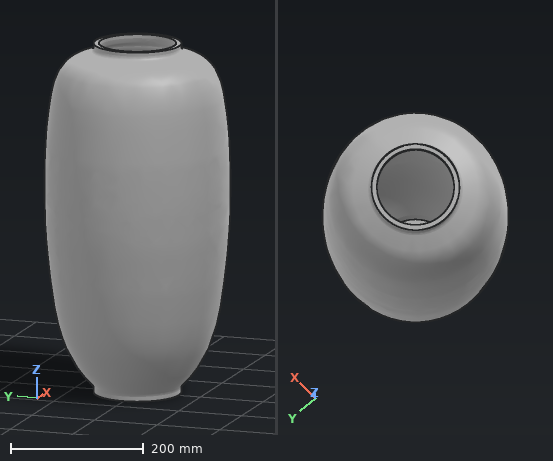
import cadquery as cq

height = 540
rim_radius = 66.5
belly_radius = 140.5
belly_height = 340
wall = 8.0
foot_height = 11
neck_height = 11.5
blend_radius = 7.5

neck_bottom = height - neck_height

body_points = [
    (83.5, 29.0),
    (105.5, 63.5),
    (121.5, 112.5),
    (133.0, 185.0),
    (139.5, 258.5),
    (belly_radius, belly_height),
    (137.5, 405),
    (132.0, 453.5),
    (122.5, 489.0),
    (109.5, 508.5),
    (95.0, 518.5),
    (80.0, 524.5),
    (rim_radius, neck_bottom),
]


def vase_blank():
    """Solid vase: straight foot, smoothly curved body and short straight neck."""
    return (
        cq.Workplane("XZ")
        .lineTo(rim_radius, 0)
        .lineTo(rim_radius, foot_height)
        .spline(body_points, includeCurrent=True)
        .lineTo(rim_radius, height)
        .lineTo(0, height)
        .close()
        .revolve(360, (0, 0, 0), (0, 1, 0))
    )


def blend_corners(blank):
    """Round the inside corners where the body meets the foot and the neck."""
    foot_and_neck = cq.selectors.BoxSelector(
        (-belly_radius, -belly_radius, foot_height / 2),
        (belly_radius, belly_radius, height - neck_height / 2),
    )
    return blank.edges("%CIRCLE").edges(foot_and_neck).fillet(blend_radius)


result = blend_corners(vase_blank()).faces(">Z").shell(-wall)